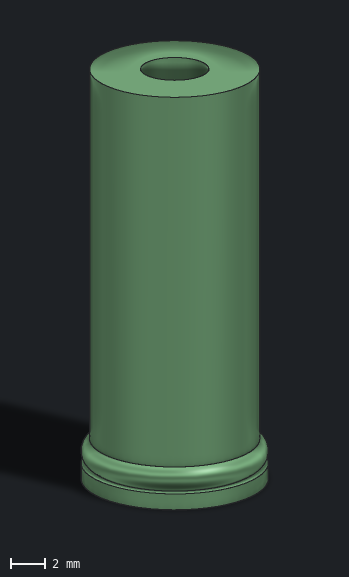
import cadquery as cq

TOTAL_HEIGHT = 25.5
BODY_DIAMETER = 10.0
FLANGE_DIAMETER = 11.0
FLANGE_HEIGHT = 1.0
BORE_DIAMETER = 4.0
BEAD_HEIGHT = 1.5

BODY_RADIUS = BODY_DIAMETER / 2
BORE_RADIUS = BORE_DIAMETER / 2
FLANGE_RADIUS = FLANGE_DIAMETER / 2
BEAD_MIDDLE = FLANGE_HEIGHT + BEAD_HEIGHT / 2
BEAD_TOP = FLANGE_HEIGHT + BEAD_HEIGHT


def make_sleeve():
    """Flanged sleeve with a bulging bead above the flange, revolved about Z from its half section."""
    half_section = (
        cq.Workplane("XZ")
        .moveTo(BORE_RADIUS, 0)
        .lineTo(FLANGE_RADIUS, 0)
        .lineTo(FLANGE_RADIUS, FLANGE_HEIGHT)
        .lineTo(BODY_RADIUS, FLANGE_HEIGHT)
        .threePointArc((FLANGE_RADIUS, BEAD_MIDDLE), (BODY_RADIUS, BEAD_TOP))
        .lineTo(BODY_RADIUS, TOTAL_HEIGHT)
        .lineTo(BORE_RADIUS, TOTAL_HEIGHT)
        .close()
    )
    return half_section.revolve(360, (0, 0, 0), (0, 1, 0))


result = make_sleeve()